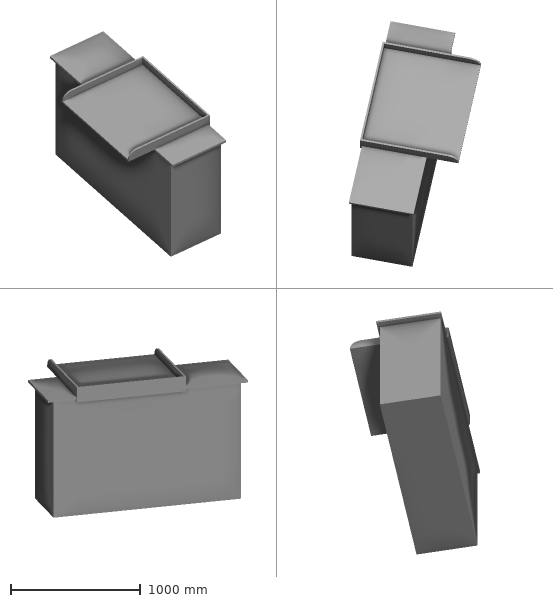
import cadquery as cq

worktop_length = 1615
worktop_depth = 509
worktop_thickness = 20
end_overhang = 50
front_overhang = 19
rear_overhang = 12
total_height = 1050

board_thickness = 15
tray_width = 880
tray_left_offset = 503
side_length = 760
side_height = 85
rear_panel_depth = 390
back_drop = 35

tray_bottom = total_height - side_height
cabinet_height = tray_bottom - worktop_thickness
tray_left = tray_left_offset - worktop_length / 2
tray_right = tray_left + tray_width
panel_width = tray_width - 2 * board_thickness


def board(x_min, y_min, z_min, length, depth, height):
    """Rectangular board placed by its lowest corner."""
    return cq.Workplane("XY").box(length, depth, height, centered=False).translate((x_min, y_min, z_min))


def make_dresser():
    """Plain cabinet block standing on Z = 0, in one piece with its overhanging worktop."""
    cabinet_length = worktop_length - 2 * end_overhang
    cabinet_depth = worktop_depth - front_overhang - rear_overhang
    cabinet = board(-cabinet_length / 2, front_overhang - worktop_depth, 0,
                    cabinet_length, cabinet_depth, cabinet_height)
    worktop = board(-worktop_length / 2, -worktop_depth, cabinet_height,
                    worktop_length, worktop_depth, worktop_thickness)
    return cabinet.union(worktop)


def make_back():
    """Rear board of the tray, hanging down behind the worktop edge."""
    return board(tray_left, 0, tray_bottom - back_drop,
                 tray_width, board_thickness, side_height + back_drop)


def make_side(x_min):
    """Side board whose front top corner is a quarter round over its full height."""
    side = board(x_min, -side_length, tray_bottom, board_thickness, side_length, side_height)
    corner = (
        cq.Workplane("YZ", origin=(x_min, 0, 0))
        .moveTo(-side_length, tray_bottom)
        .radiusArc((side_height - side_length, total_height), side_height)
        .lineTo(-side_length, total_height)
        .close()
        .extrude(board_thickness)
    )
    return side.cut(corner)


def make_panel(y_min, depth):
    """Floor panel of the tray, fitted between the two sides."""
    return board(tray_left + board_thickness, y_min, tray_bottom, panel_width, depth, board_thickness)


dresser = make_dresser()
back = make_back()
sides = [make_side(x) for x in (tray_left, tray_right - board_thickness)]
panels = [make_panel(-rear_panel_depth, rear_panel_depth),
          make_panel(-side_length, side_length - rear_panel_depth)]

result = cq.Compound.makeCompound(
    [body.val() for body in (dresser, back, *sides, *panels)]
)